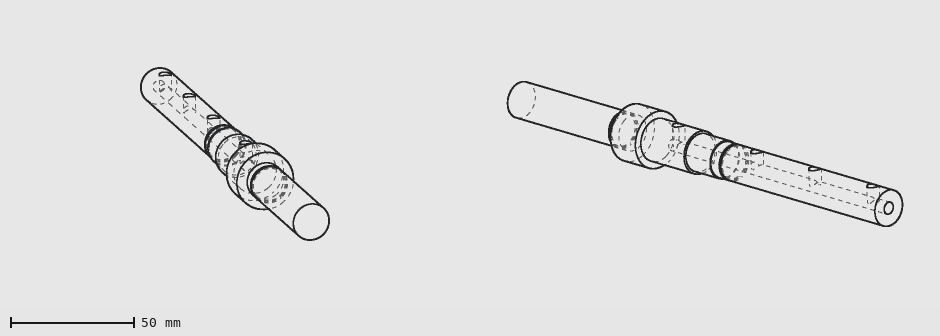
import cadquery as cq

total_length = 221.4
left_end = -total_length / 2

journal_diameter = 15.2
seat_diameter = 16.0
body_diameter = 18.0
collar_diameter = 24.0
groove_diameter = 13.8

seat_start = 98.9
body_start = 113.5
collar_start = 139.5
collar_length = 15.0
collar_end = collar_start + collar_length

groove_width = 1.0
groove_starts = (92.8, 159.5)

bore_diameter = 5.0
bore_depth = 130.0
radial_hole_diameter = 5.0
journal_hole_first = 9.4
journal_hole_pitch = 35.0
journal_hole_count = 3
body_hole_position = 126.6


def cylinder(start, end, diameter):
    """Coaxial cylinder between two axial positions."""
    return (
        cq.Workplane("YZ", origin=(left_end + start, 0, 0))
        .circle(diameter / 2)
        .extrude(end - start)
    )


def stepped_shaft():
    """Journals at both ends with the seat, body and collar between them."""
    shaft = cylinder(0, seat_start, journal_diameter)
    shaft = shaft.union(cylinder(seat_start, body_start, seat_diameter))
    shaft = shaft.union(cylinder(body_start, collar_start, body_diameter))
    shaft = shaft.union(cylinder(collar_start, collar_end, collar_diameter))
    return shaft.union(cylinder(collar_end, total_length, journal_diameter))


def ring_groove(start):
    """Material removed from a journal for one retaining ring."""
    end = start + groove_width
    return cylinder(start, end, journal_diameter).cut(cylinder(start, end, groove_diameter))


def radial_hole(position):
    """Hole from the shaft axis out through the top."""
    return (
        cq.Workplane("XY", origin=(left_end + position, 0, 0))
        .circle(radial_hole_diameter / 2)
        .extrude(collar_diameter / 2)
    )


result = stepped_shaft()

for groove_start in groove_starts:
    result = result.cut(ring_groove(groove_start))

result = result.cut(cylinder(0, bore_depth, bore_diameter))

for index in range(journal_hole_count):
    result = result.cut(radial_hole(journal_hole_first + index * journal_hole_pitch))
result = result.cut(radial_hole(body_hole_position))